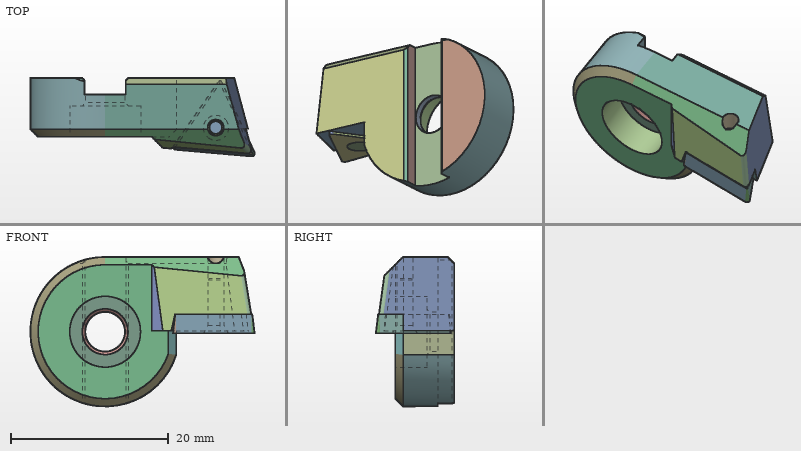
import cadquery as cq
import math


ring_diameter = 19.0
ring_radius = ring_diameter / 2
ring_width = 7.5
flat_x = 9.03
front_chamfer = 1.0
counterbore_diameter = 9.0
counterbore_depth = 4.0
bore_diameter = 5.02
bore_chamfer = 0.4

slot_width = 5.2
slot_depth = 2.08
slot_mouth_chamfer = 0.35
back_chamfer = 0.83

relief_angle = 7.0
front_angle = 5.0
end_angle = 15.0
step_x = 5.93
step_rise = 1.4
arm_bottom = 0.15
arm_end_x = 18.15
arm_corner_radius = 0.48

overall_length = 28.5
overall_width = 9.98
insert_edge = 11.0
insert_corner_angle = 60.0
insert_thickness = 2.4
insert_bottom = -0.2
nose_radius = 0.4
pocket_front_y = -6.47

screw_radius = 1.03
screw_offset = 0.09
screw_length = 7.0
screw_end_chamfer = 0.23
head_radius = 1.6
head_height = 1.0

cutter_reach = 28.5
wedge_margin = 5.7


def direction(degrees):
    return math.cos(math.radians(degrees)), math.sin(math.radians(degrees))


def along(point, degrees, distance):
    dx, dy = direction(degrees)
    return point[0] + distance * dx, point[1] + distance * dy


edge_heading = 180 - front_angle
bisector_heading = edge_heading - insert_corner_angle / 2
nose_center = (overall_length - ring_radius - nose_radius, nose_radius - overall_width)
corner_to_nose = nose_radius / math.sin(math.radians(insert_corner_angle / 2))
tip = along(nose_center, bisector_heading, -corner_to_nose)
insert_center = along(tip, bisector_heading, insert_edge / math.sqrt(3))
screw_center = (insert_center[0], insert_center[1] + screw_offset)


def ring_outline(plane_y):
    flat_bottom = -math.sqrt(ring_radius**2 - flat_x**2)
    return (
        cq.Workplane("XZ", origin=(0, plane_y, 0))
        .moveTo(0, ring_radius)
        .lineTo(flat_x, ring_radius)
        .lineTo(flat_x, flat_bottom)
        .threePointArc((-ring_radius, 0), (0, ring_radius))
        .close()
    )


def make_ring():
    body_width = ring_width - front_chamfer
    body = ring_outline(0).extrude(body_width)
    chamfered_rim = ring_outline(-body_width).extrude(front_chamfer, taper=45)
    return body.union(chamfered_rim)


def make_arm():
    slope = math.tan(math.radians(front_angle))
    end_slope = math.tan(math.radians(end_angle))
    front_x = step_x + step_rise
    front_y = -ring_width - step_rise
    end_y = front_chamfer - ring_width
    corner_x = (arm_end_x + end_slope * (end_y - front_y - slope * front_x)) / (1 - end_slope * slope)
    corner_y = front_y - slope * (corner_x - front_x)
    height = ring_radius - arm_bottom

    wedge = (
        cq.Workplane("XY", origin=(0, 0, arm_bottom))
        .polyline([
            (corner_x, corner_y),
            (corner_x - (wedge_margin - corner_y) * end_slope, wedge_margin),
            (-wedge_margin, wedge_margin),
            (-wedge_margin, front_y + slope * (front_x + wedge_margin)),
        ])
        .close()
        .extrude(height, taper=relief_angle)
    )
    corner_edge = cq.selectors.NearestToPointSelector((corner_x, corner_y, arm_bottom + height / 2))
    wedge = wedge.edges(corner_edge).fillet(arm_corner_radius)

    outline = (
        cq.Workplane("XY", origin=(0, 0, arm_bottom))
        .polyline([
            (0, 0),
            (0, -ring_width),
            (step_x, -ring_width),
            (step_x + wedge_margin, -ring_width - wedge_margin),
            (cutter_reach, -ring_width - wedge_margin),
            (cutter_reach, 0),
        ])
        .close()
        .extrude(height)
    )
    return wedge.intersect(outline).cut(front_top_chamfer())


def front_top_chamfer():
    edge_y = front_chamfer - ring_width
    return (
        cq.Workplane("YZ")
        .polyline([
            (edge_y, ring_radius),
            (edge_y - ring_radius, ring_radius),
            (edge_y - ring_radius, 0),
        ])
        .close()
        .extrude(cutter_reach)
    )


def back_top_chamfer():
    return (
        cq.Workplane("YZ")
        .polyline([
            (0, ring_radius),
            (-back_chamfer, ring_radius),
            (0, ring_radius - back_chamfer),
        ])
        .close()
        .extrude(cutter_reach, both=True)
    )


def bore():
    counterbore_radius = counterbore_diameter / 2
    bore_radius = bore_diameter / 2
    return (
        cq.Workplane("XY")
        .polyline([
            (0, 0),
            (bore_radius, 0),
            (bore_radius, counterbore_depth + bore_chamfer - ring_width),
            (bore_radius + bore_chamfer, counterbore_depth - ring_width),
            (counterbore_radius, counterbore_depth - ring_width),
            (counterbore_radius, -ring_width),
            (0, -ring_width),
        ])
        .close()
        .revolve(360, (0, 0), (0, 1))
    )


def drive_slot():
    half = slot_width / 2
    return (
        cq.Workplane("XY")
        .polyline([
            (-half - slot_mouth_chamfer, 0),
            (-half, -slot_mouth_chamfer),
            (-half, -slot_depth),
            (half, -slot_depth),
            (half, -slot_mouth_chamfer),
            (half + slot_mouth_chamfer, 0),
        ])
        .close()
        .extrude(cutter_reach, both=True)
    )


def insert_corner_points():
    left_corner = along(tip, edge_heading, insert_edge)
    rear_corner = along(tip, edge_heading - insert_corner_angle, insert_edge)
    return [tip, left_corner, rear_corner]


def insert_blank(corner_radius):
    """Triangle with leaning sides; rounded corners become cones."""
    triangle = cq.Wire.makePolygon([cq.Vector(*point) for point in insert_corner_points()], close=True)
    if corner_radius > 0:
        triangle = triangle.fillet2D(corner_radius, triangle.Vertices())
    return (
        cq.Workplane("XY", origin=(0, 0, insert_bottom))
        .add(triangle.translate(cq.Vector(0, 0, insert_bottom)))
        .toPending()
        .extrude(insert_thickness, taper=relief_angle)
    )


def make_insert(screw):
    return insert_blank(nose_radius).cut(screw)


def pocket():
    """Seat with sharp corners, opened through the arm's end beside the insert nose."""
    center_x = insert_center[0]
    end_opening = (
        cq.Workplane("XY", origin=(0, 0, insert_bottom))
        .polyline([
            (center_x, pocket_front_y),
            (cutter_reach, pocket_front_y),
            (cutter_reach, -cutter_reach),
            (center_x, -cutter_reach),
        ])
        .close()
        .extrude(insert_thickness)
    )
    return insert_blank(0).union(end_opening)


def make_screw():
    shank_end = insert_bottom + screw_length
    return (
        cq.Workplane("XZ")
        .polyline([
            (0, insert_bottom),
            (head_radius, insert_bottom),
            (screw_radius, insert_bottom + head_height),
            (screw_radius, shank_end - screw_end_chamfer),
            (screw_radius - screw_end_chamfer, shank_end),
            (0, shank_end),
        ])
        .close()
        .revolve(360, (0, 0), (0, 1))
        .translate((*screw_center, 0))
    )


def make_holder():
    screw_hole = (
        cq.Workplane("XY", origin=(*screw_center, 0))
        .circle(screw_radius)
        .extrude(cutter_reach)
    )
    return (
        make_ring()
        .union(make_arm())
        .cut(back_top_chamfer())
        .cut(drive_slot())
        .cut(bore())
        .cut(pocket())
        .cut(screw_hole)
    )


screw = make_screw()
insert = make_insert(screw)
holder = make_holder()

result = cq.Compound.makeCompound([holder.val(), insert.val(), screw.val()])